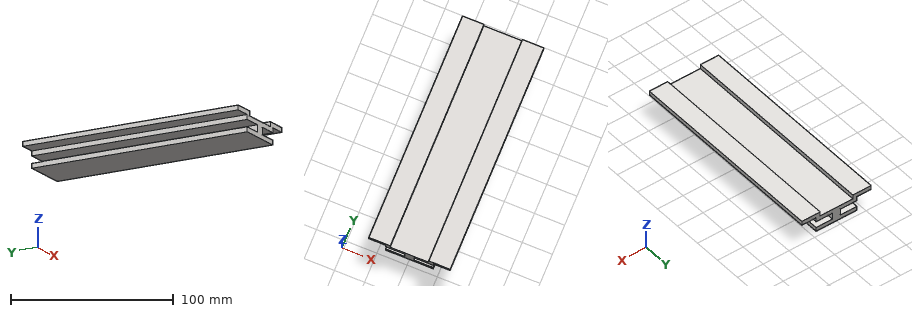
import cadquery as cq

INCH = 25.4

length = 6.0 * INCH
overall_width = 2.125 * INCH
wall = 0.125 * INCH
channel_width = 1.0 * INCH
web_width = 0.25 * INCH
slot_height = 0.187 * INCH

body_width = channel_width + 2 * wall
overall_height = 3 * wall + slot_height

slot_bottom = wall
slot_top = slot_bottom + slot_height
channel_floor = slot_top + wall


def layer(width, bottom, top):
    """Full-length bar centred on X and Y between two Z levels."""
    return cq.Workplane("XY").workplane(offset=bottom).rect(width, length).extrude(top - bottom)


def top_flange(side):
    """Stepped-out flange along one edge of the channel; side is -1 or +1."""
    flange_width = (overall_width - channel_width) / 2
    centre_x = side * (channel_width + flange_width) / 2
    return layer(flange_width, channel_floor, overall_height).translate((centre_x, 0, 0))


bottom_flange = layer(body_width, 0, slot_bottom)
web = layer(web_width, slot_bottom, slot_top)
channel_base = layer(body_width, slot_top, channel_floor)

result = bottom_flange.union(web).union(channel_base)
for side in (-1, 1):
    result = result.union(top_flange(side))